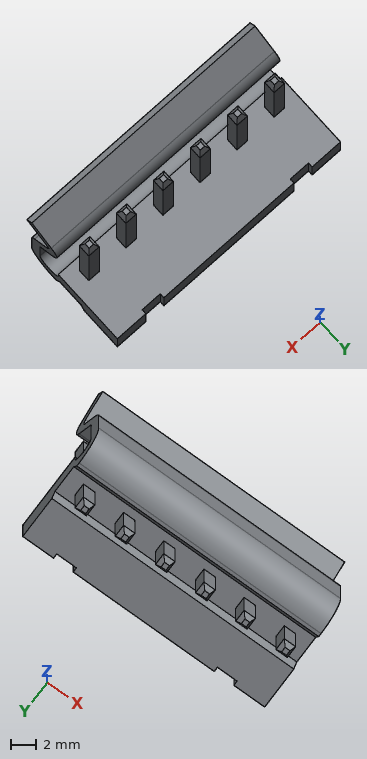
import cadquery as cq
import math


length = 23.87
depth = 10.75
total_height = 17.45

base_height = 3.17
recess_height = 0.88
recess_top_half_width = 1.27
recess_bottom_half_width = 1.67

notch_width = 1.93
notch_depth = 0.43

pin_count = 6
pitch = 3.96
pin_width = 1.12
pin_tip_width = 0.48
pin_taper = 0.9
pin_drop = 3.63

wall_thickness = 1.0
wall_front = -4.6
wall_back = wall_front + wall_thickness

groove_back = -1.43
groove_radius = (groove_back - wall_back) / 2
groove_bottom = 1.55
groove_center = ((groove_back + wall_back) / 2, groove_bottom + groove_radius)
heel_radius = 2.63
heel_center = (wall_front + heel_radius, heel_radius)

elbow_inner_radius = 0.65
elbow_outer_radius = elbow_inner_radius + wall_thickness
elbow_center = (wall_front + elbow_outer_radius, 6.05)
bend_inner_radius = 0.62
bend_outer_radius = bend_inner_radius + wall_thickness
bend_center = (-3.22, 9.24)

flap_length = 2.85
flap_angle = math.radians(36)


def polar(center, radius, angle):
    """Point at the given angle from +Y towards +Z on a circle in the YZ plane."""
    return (center[0] + radius * math.cos(angle), center[1] + radius * math.sin(angle))


def leaning_normal():
    """Angle of the front normal of the straight stretch tangent to both the elbow and the bend."""
    run_y = bend_center[0] - elbow_center[0]
    rise_z = bend_center[1] - elbow_center[1]
    offset = math.acos((elbow_outer_radius + bend_inner_radius) / math.hypot(run_y, rise_z))
    return math.atan2(rise_z, run_y) + offset


def make_moulding():
    """Constant section of base, groove, latch wall and flap, extruded along the row."""
    lean_front = leaning_normal()
    lean_back = lean_front - math.pi
    elbow_middle = (lean_front + math.pi) / 2
    flap_normal = math.pi / 2 - flap_angle
    bend_middle = (lean_back + flap_normal) / 2
    flap_direction = math.pi - flap_angle

    flap_top_start = polar(bend_center, bend_outer_radius, flap_normal)
    flap_under_start = polar(bend_center, bend_inner_radius, flap_normal)
    flap_top_tip = polar(flap_top_start, flap_length, flap_direction)
    flap_under_tip = polar(flap_under_start, flap_length, flap_direction)
    base_back = flap_under_tip[0] + depth

    return (
        cq.Workplane("YZ")
        .moveTo(base_back, 0)
        .lineTo(base_back, base_height)
        .lineTo(groove_back, base_height)
        .lineTo(groove_back, groove_center[1])
        .threePointArc((groove_center[0], groove_bottom), (wall_back, groove_center[1]))
        .lineTo(wall_back, elbow_center[1])
        .threePointArc(
            polar(elbow_center, elbow_inner_radius, elbow_middle),
            polar(elbow_center, elbow_inner_radius, lean_front),
        )
        .lineTo(*polar(bend_center, bend_outer_radius, lean_back))
        .threePointArc(polar(bend_center, bend_outer_radius, bend_middle), flap_top_start)
        .lineTo(*flap_top_tip)
        .lineTo(*flap_under_tip)
        .lineTo(*flap_under_start)
        .threePointArc(
            polar(bend_center, bend_inner_radius, bend_middle),
            polar(bend_center, bend_inner_radius, lean_back),
        )
        .lineTo(*polar(elbow_center, elbow_outer_radius, lean_front))
        .threePointArc(
            polar(elbow_center, elbow_outer_radius, elbow_middle),
            (wall_front, elbow_center[1]),
        )
        .lineTo(wall_front, heel_center[1])
        .threePointArc(
            polar(heel_center, heel_radius, math.radians(225)),
            (heel_center[0], 0),
        )
        .lineTo(-recess_bottom_half_width, 0)
        .lineTo(-recess_top_half_width, recess_height)
        .lineTo(recess_top_half_width, recess_height)
        .lineTo(recess_bottom_half_width, 0)
        .close()
        .extrude(length / 2, both=True)
    )


def cut_rear_notches(body):
    """Two notches down the rear face, each midway between the two outermost pins of its end."""
    rear = body.val().BoundingBox().ymax
    notch_offset = (pin_count / 2 - 1) * pitch
    notches = (
        cq.Workplane("XY")
        .pushPoints([(-notch_offset, rear), (notch_offset, rear)])
        .rect(notch_width, 2 * notch_depth)
        .extrude(base_height)
    )
    return body.cut(notches)


def make_pin():
    """Square pin with a tapered point at each end."""
    shank_bottom = pin_taper - pin_drop
    shank_length = total_height - 2 * pin_taper
    shank = (
        cq.Workplane("XY", origin=(0, 0, shank_bottom))
        .rect(pin_width, pin_width)
        .extrude(shank_length)
    )
    taper_angle = math.degrees(math.atan2((pin_width - pin_tip_width) / 2, pin_taper))
    for end in (">Z", "<Z"):
        shank = shank.faces(end).workplane().rect(pin_width, pin_width).extrude(pin_taper, taper=taper_angle)
    return shank


result = cut_rear_notches(make_moulding())
pin = make_pin()
for index in range(pin_count):
    pin_x = (index - (pin_count - 1) / 2) * pitch
    result = result.union(pin.translate((pin_x, 0, 0)))